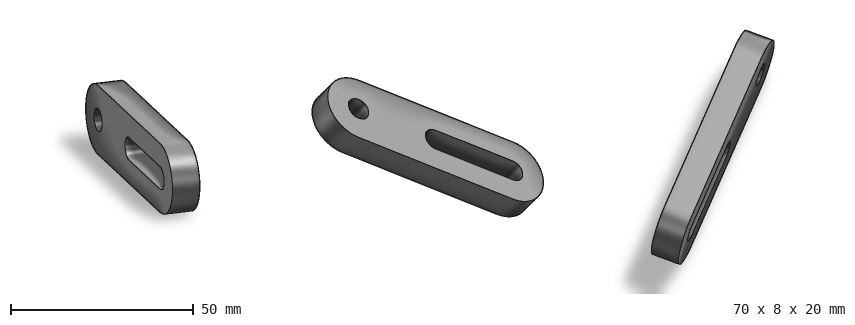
import cadquery as cq

length = 70.0
height = 20.0
thickness = 8.0

opening_width = 6.5
slot_travel = 25.0

end_centre_x = (length - height) / 2
slot_centre_x = end_centre_x - slot_travel / 2


def make_plate():
    """Round-ended plate standing in the XZ plane, centred on the origin."""
    return cq.Workplane("XZ").slot2D(length, height).extrude(thickness / 2, both=True)


def make_hole():
    """Round through-hole at the -X end."""
    return (
        cq.Workplane("XZ")
        .center(-end_centre_x, 0)
        .circle(opening_width / 2)
        .extrude(thickness, both=True)
    )


def make_slot():
    """Round-ended through-slot reaching to the +X end-arc centre."""
    return (
        cq.Workplane("XZ")
        .center(slot_centre_x, 0)
        .slot2D(slot_travel + opening_width, opening_width)
        .extrude(thickness, both=True)
    )


result = make_plate().cut(make_hole()).cut(make_slot())